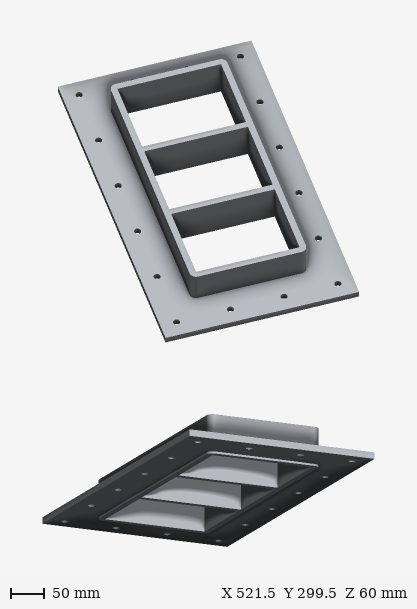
import cadquery as cq

plate_length = 521.5
plate_width = 299.5
plate_thickness = 10.0

wall = 10.0
opening_length = 120.0
opening_count = 3
opening_pitch = opening_length + wall
frame_length = opening_count * opening_pitch + wall
frame_width = 180.0
frame_height = 60.0
frame_corner_radius = 10.0
frame_below_plate = 3.0
opening_width = frame_width - 2 * wall

hole_diameter = 10.5
hole_edge_distance = 25.0
holes_along_length = 6
holes_along_width = 4
hole_span_x = plate_length - 2 * hole_edge_distance
hole_span_y = plate_width - 2 * hole_edge_distance


def make_plate():
    """Flat plate with a row of bolt holes along all four edges."""
    return (
        cq.Workplane("XY", origin=(0, 0, frame_below_plate))
        .rect(plate_length, plate_width)
        .extrude(plate_thickness)
        .faces(">Z")
        .workplane()
        .pushPoints(bolt_positions())
        .hole(hole_diameter)
    )


def bolt_positions():
    """Centres of the bolt holes: the outer ring of a rectangular grid."""
    pitch_x = hole_span_x / (holes_along_length - 1)
    pitch_y = hole_span_y / (holes_along_width - 1)
    positions = []
    for column in range(holes_along_length):
        for row in range(holes_along_width):
            on_end = column in (0, holes_along_length - 1)
            on_side = row in (0, holes_along_width - 1)
            if on_end or on_side:
                x = column * pitch_x - hole_span_x / 2
                y = row * pitch_y - hole_span_y / 2
                positions.append((x, y))
    return positions


def make_frame_block():
    """Solid block with the rounded outline of the frame."""
    return (
        cq.Workplane("XY")
        .rect(frame_length, frame_width)
        .extrude(frame_height)
        .edges("|Z")
        .fillet(frame_corner_radius)
    )


def make_openings():
    """Sharp-cornered through openings, side by side along X."""
    return (
        cq.Workplane("XY")
        .rarray(opening_pitch, 5, opening_count, 1)
        .rect(opening_length, opening_width)
        .extrude(frame_height)
    )


result = make_plate().union(make_frame_block()).cut(make_openings())